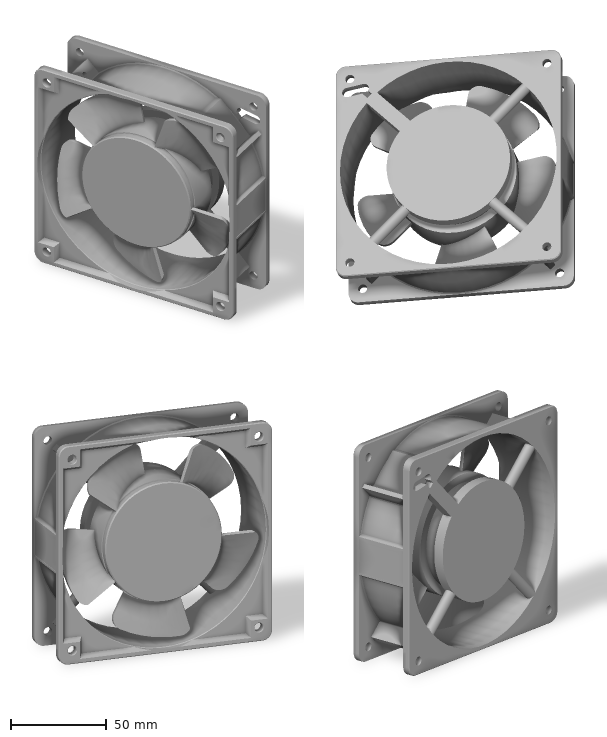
import cadquery as cq
import math

side = 120.0
depth = 38.5
flange_thickness = 4.1
corner_radius = 5.4
edge_chamfer = 0.5
tube_radius = 59.3
tube_root_chamfer = 0.6
bore_radius = 57.7
bore_chamfer = 0.4

front = -depth / 2
back = depth / 2
inner_front = front + flange_thickness
inner_back = back - flange_thickness
gap = inner_back - inner_front
half_side = side / 2

hole_offset = 52.5
hole_diameter = 4.8
hole_chamfer = 0.4

pocket_half = 57.6
pocket_corner = 48.1
pocket_depth = 3.0
pocket_inset = 1.9
pocket_floor = front + pocket_depth

pad_half = 10.5
pad_base_half = 12.0
pad_base_x = 57.6
label_half = 9.5
label_depth = 0.2

web_thickness = 3.5
web_reach = 69.1
web_fillet = 0.6
web_angles = (135, 225, 315)
tie_hole_radius = 64.0
tie_hole_diameter = 3.0
tie_hole_pitch = 12.0

cable_angle = 45
cable_block = 51.1
cable_block_flat = 32.9
cable_wall_offset = 12.0
cable_wall_thickness = 2.4
cable_wall_reach = 66.7
outlet_x = 49.5
outlet_z = 45.6
outlet_length = 14.4
outlet_width = 5.3
outlet_tilt = -10
outlet_channel_width = 3.2
outlet_channel_end = 66.0

hub_radius = 33.5
hub_nose_radius = 32.9
hub_nose_length = 4.1
hub_chamfer = 0.6
hub_front = front + 2.5
hub_back = 4.5
core_radius = 28.8
base_radius = 32.9
strut_diameter = 5.9
strut_angles = (135, 225, 315)
cable_strut_width = 7.8
base_front = back - strut_diameter

blade_count = 5
blade_first_angle = -1.0
blade_span = 45.5
blade_tip_span = 44.4
blade_tip_radius = 54.2
blade_lead_tip_radius = 54.7
blade_trail_tip_radius = 52.7
blade_camber = 1.2
blade_root_radius = 32.4
blade_front = front + 3.4
blade_rise = 14.8
blade_thickness = 1.8
blade_lean = 1.0
blade_corner_radius = 6.0
blade_side_margin = 0.2
blade_curve_points = 7


def cylinder(radius, y_start, y_end):
    """Cylinder on the fan axis between two Y positions."""
    return cq.Workplane("XZ", origin=(0, y_start, 0)).circle(radius).extrude(y_start - y_end)


def turned(outline):
    """Solid of revolution about the Y axis from an outline of radius and Y."""
    return cq.Workplane("XY").polyline(outline).close().revolve(360, (0, 0, 0), (0, 1, 0))


def turn_about_axis(body, angle):
    """Turn a body about the fan axis, from +X towards +Z."""
    return body.rotate((0, 0, 0), (0, 1, 0), -angle)


def radial_box(angle, r_start, r_end, offset, width, y_start, y_end):
    """Box running outward at an angle from +X towards +Z, shifted sideways by offset."""
    box = cq.Workplane("XY").box(r_end - r_start, y_end - y_start, width)
    box = box.translate(((r_start + r_end) / 2, (y_start + y_end) / 2, offset))
    return turn_about_axis(box, angle)


def make_flange(y_start, outer_face):
    flange = cq.Workplane("XY").box(side, flange_thickness, side)
    flange = flange.translate((0, y_start + flange_thickness / 2, 0))
    flange = flange.edges("|Y").fillet(corner_radius)
    return flange.faces(outer_face).chamfer(edge_chamfer)


def make_tube_root(y_flange, y_tube):
    """Small bevelled ring where the tube meets a flange."""
    return turned([
        (bore_radius, y_flange),
        (tube_radius + tube_root_chamfer, y_flange),
        (tube_radius, y_tube),
        (bore_radius, y_tube),
    ])


def make_pads():
    outline = [
        (-half_side, pad_half),
        (-pad_base_x, pad_base_half),
        (pad_base_x, pad_base_half),
        (half_side, pad_half),
        (half_side, -pad_half),
        (pad_base_x, -pad_base_half),
        (-pad_base_x, -pad_base_half),
        (-half_side, -pad_half),
    ]
    pads = cq.Workplane("XZ", origin=(0, inner_front, 0)).polyline(outline).close().extrude(-gap)
    label_width = 2 * (half_side - label_depth)
    label_keep = cq.Workplane("XY").box(label_width, gap, 2 * label_half)
    labels = cq.Workplane("XY").box(side, gap, 2 * label_half).cut(label_keep)
    return pads.cut(labels)


def make_web(angle):
    return radial_box(angle, bore_radius, web_reach, 0, web_thickness, inner_front, inner_back)


def make_tie_holes():
    """Two holes across the upper left web."""
    drill = cq.Workplane("XY").circle(tie_hole_diameter / 2).extrude(2 * web_thickness)
    drill = drill.translate((tie_hole_radius, 0, -web_thickness))
    drill = turn_about_axis(drill, web_angles[0])
    low = drill.translate((0, -tie_hole_pitch / 2, 0))
    high = drill.translate((0, tie_hole_pitch / 2, 0))
    return low.union(high)


def make_cable_corner():
    outline = [
        (0, 0),
        (0, cable_block),
        (cable_block_flat, cable_block),
        (cable_block, cable_block_flat),
        (cable_block, 0),
    ]
    block = cq.Workplane("XZ", origin=(0, inner_front, 0)).polyline(outline).close().extrude(-gap)
    wall = radial_box(
        cable_angle, cable_block, cable_wall_reach,
        -cable_wall_offset - cable_wall_thickness / 2, cable_wall_thickness, inner_front, inner_back,
    )
    return block.union(wall)


def make_cable_outlet():
    """Slot through the back flange, with a narrow channel leading to it from the tube."""
    slot = cq.Workplane("XZ", origin=(outlet_x, inner_back, outlet_z))
    slot = slot.slot2D(outlet_length, outlet_width, outlet_tilt).extrude(-flange_thickness)
    channel = radial_box(
        cable_angle, tube_radius, outlet_channel_end, 0, outlet_channel_width, inner_back, back,
    )
    return slot.union(channel)


def pocket_outline(inset):
    """Square with its corners stepped in around the mounting holes, shrunk by an inset."""
    h = pocket_half - inset
    c = pocket_corner - inset
    return [
        (-c, h), (c, h), (c, c), (h, c), (h, -c), (c, -c),
        (c, -h), (-c, -h), (-c, -c), (-h, -c), (-h, c), (-c, c),
    ]


def make_pocket():
    pocket = cq.Workplane("XZ", origin=(0, front, 0)).polyline(pocket_outline(0)).close()
    pocket = pocket.workplane(offset=-pocket_depth).polyline(pocket_outline(pocket_inset)).close()
    return pocket.loft(ruled=True)


def make_bore():
    wide = bore_radius + bore_chamfer
    return turned([
        (0, front),
        (wide, front),
        (wide, pocket_floor),
        (bore_radius, pocket_floor + bore_chamfer),
        (bore_radius, back),
        (0, back),
    ])


def make_mounting_holes():
    radius = hole_diameter / 2
    drill = turned([
        (0, front),
        (radius + hole_chamfer, front),
        (radius, front + hole_chamfer),
        (radius, back),
        (0, back),
    ])
    drills = cq.Workplane("XY")
    for x in (-hole_offset, hole_offset):
        for z in (-hole_offset, hole_offset):
            drills = drills.add(drill.translate((x, 0, z)))
    return drills.combine()


def make_hub():
    """Rotor cup with a stepped nose, a narrower core behind it and a base disc at the back."""
    nose_end = hub_front + hub_nose_length
    return turned([
        (0, hub_front),
        (hub_nose_radius - hub_chamfer, hub_front),
        (hub_nose_radius, hub_front + hub_chamfer),
        (hub_nose_radius, nose_end),
        (hub_radius, nose_end),
        (hub_radius, hub_back),
        (core_radius, hub_back),
        (core_radius, base_front),
        (base_radius, base_front),
        (base_radius, back),
        (0, back),
    ])


def make_struts():
    """Three round struts and one flat cable strut from the hub base to the tube wall."""
    reach = (bore_radius + tube_radius) / 2
    struts = radial_box(cable_angle, 0, reach, 0, cable_strut_width, base_front, back)
    for angle in strut_angles:
        rod = cq.Workplane("YZ").circle(strut_diameter / 2).extrude(reach)
        rod = rod.translate((0, back - strut_diameter / 2, 0))
        struts = struts.union(turn_about_axis(rod, angle))
    return struts


def make_frame(hub):
    """Flanges, tube, webs, struts and hub as one solid."""
    frame = cylinder(tube_radius, inner_front, inner_back).union(make_pads())
    for angle in web_angles:
        frame = frame.union(make_web(angle))
    corners = [
        edge for edge in frame.edges("|Y").vals()
        if abs(math.hypot(edge.Center().x, edge.Center().z) - tube_radius) < web_fillet / 2
    ]
    frame = frame.newObject(corners).fillet(web_fillet)
    front_root = make_tube_root(inner_front, inner_front + tube_root_chamfer)
    back_root = make_tube_root(inner_back, inner_back - tube_root_chamfer)
    frame = frame.union(front_root.union(back_root)).union(make_cable_corner())
    frame = frame.union(make_flange(front, "<Y")).union(make_flange(inner_back, ">Y"))
    frame = frame.cut(make_bore()).cut(make_pocket())
    frame = frame.cut(make_mounting_holes()).cut(make_tie_holes()).cut(make_cable_outlet())
    return frame.union(make_struts()).union(hub)


def polar(radius, angle):
    """Point at a radius and an angle in degrees, as distances along X and Z."""
    return radius * math.cos(math.radians(angle)), radius * math.sin(math.radians(angle))


def blade_curve(radius):
    """Cambered helical line at one radius, from the front edge of the blade to its rear edge."""
    points = []
    for i in range(blade_curve_points):
        part = i / (blade_curve_points - 1)
        x, z = polar(radius, -(blade_span + blade_side_margin) * part)
        y = blade_front + blade_rise * part + 4 * blade_camber * part * (1 - part)
        points.append(cq.Vector(x, y, z))
    return cq.Edge.makeSpline(points)


def make_blade_planform(lean):
    """Axial prism that trims the blade to its tip radius and rounds the two tip corners."""
    y_start = blade_front - blade_thickness
    y_end = blade_front + blade_rise + 2 * blade_thickness
    lead_angle = lean + blade_side_margin
    middle_angle = (lean - blade_span) / 2
    outline = cq.Workplane("XZ", origin=(0, y_start, 0))
    outline = outline.moveTo(*polar(blade_root_radius, lead_angle))
    outline = outline.lineTo(*polar(blade_lead_tip_radius, lead_angle))
    outline = outline.threePointArc(
        polar(blade_tip_radius, middle_angle), polar(blade_trail_tip_radius, -blade_tip_span),
    )
    outline = outline.lineTo(*polar(blade_root_radius, -blade_span)).close()
    prism = outline.extrude(y_start - y_end)
    tip_corners = [
        edge for edge in prism.edges("|Y").vals()
        if math.hypot(edge.Center().x, edge.Center().z) > blade_root_radius + blade_corner_radius
    ]
    return prism.newObject(tip_corners).fillet(blade_corner_radius)


def make_blade():
    """Twisted plate between two helical surfaces, with rounded tip corners."""
    shift = cq.Vector(0, blade_thickness, 0)
    lean = math.degrees(blade_lean / blade_tip_radius)

    def rear(edge):
        return edge.rotate(cq.Vector(0, 0, 0), cq.Vector(0, 1, 0), -lean).translate(shift)

    root = blade_curve(blade_root_radius)
    tip = blade_curve(blade_tip_radius + blade_thickness)
    lead = cq.Edge.makeLine(root.startPoint(), tip.startPoint())
    trail = cq.Edge.makeLine(root.endPoint(), tip.endPoint())
    faces = [cq.Face.makeRuledSurface(root, tip), cq.Face.makeRuledSurface(rear(root), rear(tip))]
    for edge in (root, tip, lead, trail):
        faces.append(cq.Face.makeRuledSurface(edge, rear(edge)))
    solid = cq.Solid.makeSolid(cq.Shell.makeShell(faces))
    return cq.Workplane(solid).intersect(make_blade_planform(lean))


hub = make_hub()
frame = make_frame(hub)
blade = make_blade()
blades = []
for i in range(blade_count):
    angle = blade_first_angle + i * 360 / blade_count
    blades.append(turn_about_axis(blade, angle).cut(hub).val())

result = cq.Compound.makeCompound([frame.val(), *blades])